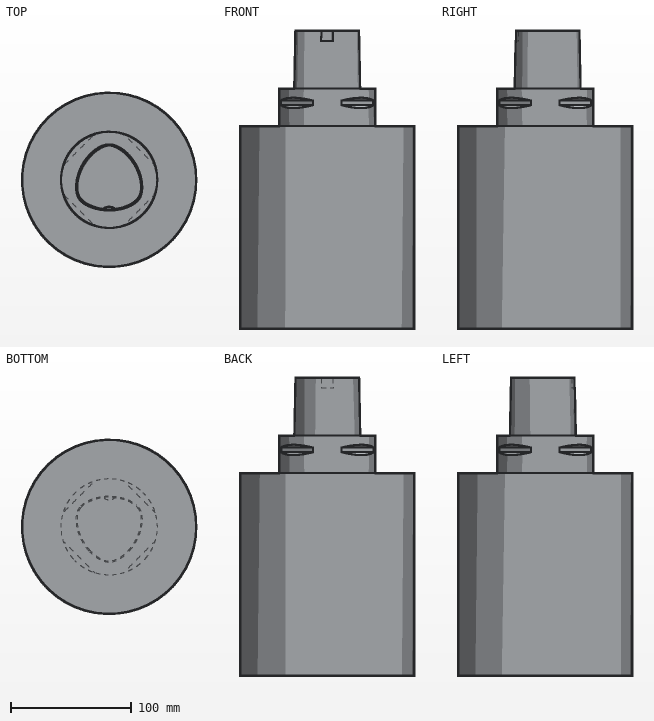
import cadquery as cq
import math

total_height = 248.0
body_height = 168.6
collar_height = 31.2
shank_base = body_height + collar_height
shank_height = total_height - shank_base

body_diameter = 145.0
collar_diameter = 80.0
collar_radius = collar_diameter / 2

shank_base_radius = 27.5
shank_taper = 0.02
lobe_rise = 2.0
lobe_half_angle = 33
points_per_face = 7

keyway_height = 8.7
keyway_depth = 2.2
keyway_radius = 7.0

groove_count = 4
groove_drop = 12.0
groove_floor_distance = 35.5
groove_floor_width = 3.7
groove_mouth_width = 8.7


def lobed_point(mean_radius, normal_angle):
    """Point of the lobed outline whose outward normal has the given angle in degrees."""
    angle = math.radians(normal_angle)
    support = mean_radius - lobe_rise * math.sin(3 * angle)
    slope = -3 * lobe_rise * math.cos(3 * angle)
    x = support * math.cos(angle) - slope * math.sin(angle)
    y = support * math.sin(angle) + slope * math.cos(angle)
    return cq.Vector(x, y, 0)


def tangent(normal_angle):
    angle = math.radians(normal_angle)
    return cq.Vector(-math.sin(angle), math.cos(angle), 0)


def outline_edge(mean_radius, start, end):
    """Smooth stretch of the lobed outline between two normal angles."""
    step = (end - start) / (points_per_face - 1)
    points = [lobed_point(mean_radius, start + i * step) for i in range(points_per_face)]
    return cq.Edge.makeSpline(points, tangents=[tangent(start), tangent(end)])


def shank_outline(mean_radius, z):
    """Closed outline of three lobes joined by three flatter flanks."""
    edges = []
    for peak in (90, 210, 330):
        lobe_start = peak - lobe_half_angle
        lobe_end = peak + lobe_half_angle
        next_lobe_start = lobe_start + 120
        edges.append(outline_edge(mean_radius, lobe_start, lobe_end))
        edges.append(outline_edge(mean_radius, lobe_end, next_lobe_start))
    return cq.Wire.assembleEdges(edges).translate(cq.Vector(0, 0, z))


shank_top_radius = shank_base_radius - shank_taper * shank_height


def make_shank():
    base = shank_outline(shank_base_radius, shank_base)
    top = shank_outline(shank_top_radius, total_height)
    return cq.Workplane(obj=cq.Solid.makeLoft([base, top], True))


def make_keyway():
    """Upright cylinder that bites into the -Y flank."""
    flank_distance = shank_top_radius - lobe_rise
    axis_distance = flank_distance - keyway_depth + keyway_radius
    return (
        cq.Workplane("XY", origin=(0, -axis_distance, total_height - keyway_height))
        .circle(keyway_radius)
        .extrude(keyway_height)
    )


def make_groove(direction):
    """Straight groove with sloping walls, facing the given angle in degrees."""
    centre_z = shank_base - groove_drop
    floor_half = groove_floor_width / 2
    mouth_half = groove_mouth_width / 2
    return (
        cq.Workplane("XZ", origin=(0, 0, centre_z))
        .moveTo(groove_floor_distance, -floor_half)
        .lineTo(collar_radius, -mouth_half)
        .lineTo(collar_radius, mouth_half)
        .lineTo(groove_floor_distance, floor_half)
        .close()
        .extrude(collar_radius, both=True)
        .rotate((0, 0, 0), (0, 0, 1), direction)
    )


body = cq.Workplane("XY").circle(body_diameter / 2).extrude(body_height)
collar = cq.Workplane("XY", origin=(0, 0, body_height)).circle(collar_radius).extrude(collar_height)

result = body.union(collar).union(make_shank()).cut(make_keyway())
for index in range(groove_count):
    result = result.cut(make_groove(45 + index * 360 / groove_count))